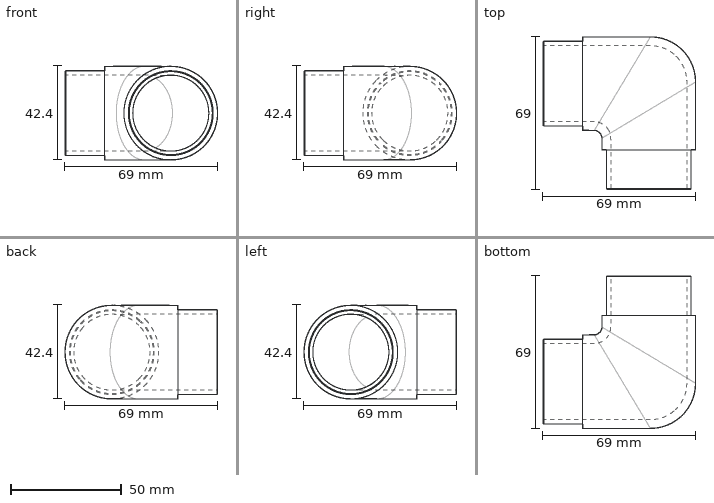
import math

import cadquery as cq

overall = 69.0
body_diameter = 42.4
spigot_diameter = 38.35
bore_diameter = 34.35
spigot_length = 17.95
mouth_chamfer = 0.4
inner_bend_radius = 3.45
outer_bend_radius = 20.4
bend_section_count = 9

body_radius = body_diameter / 2
axis_reach = overall - body_radius
body_reach = axis_reach - spigot_length

inner_centre = -(body_radius + inner_bend_radius)
outer_centre = body_radius - outer_bend_radius


def bend_points(radius, angle):
    """Inner and outer ends of the bend section at an angle from +X, for a tube of this radius."""
    direction = cq.Vector(math.cos(angle), math.sin(angle), 0)
    inner_arc_radius = -radius - inner_centre
    outer_arc_radius = radius - outer_centre
    inner = cq.Vector(inner_centre, inner_centre, 0) + direction * inner_arc_radius
    outer = cq.Vector(outer_centre, outer_centre, 0) + direction * outer_arc_radius
    return inner, outer


def bend_section(radius, angle):
    """Upright ellipse spanning the bend from its inner arc to its outer arc."""
    inner, outer = bend_points(radius, angle)
    chord = outer - inner
    normal = cq.Vector(0, 0, 1).cross(chord)
    ellipse = cq.Edge.makeEllipse(chord.Length / 2, radius, (inner + outer) / 2, normal, chord)
    return cq.Wire.assembleEdges([ellipse])


def bend(radius):
    """Quarter bend whose corner rounding grows from the inner arc to the outer arc."""
    step = math.pi / 2 / (bend_section_count - 1)
    sections = [bend_section(radius, i * step) for i in range(bend_section_count)]
    return cq.Workplane(obj=cq.Solid.makeLoft(sections))


def swap_legs(leg):
    """Half turn about the diagonal x = y, which takes one leg to the other."""
    return leg.rotate((0, 0, 0), (1, 1, 0), 180)


def mitred_leg(radius, length):
    """Leg along -Y that stops at the slanted plane where the bend begins."""
    inner, outer = bend_points(radius, 0)
    outline = [(inner.x, -length), (inner.x, inner.y), (outer.x, outer.y), (outer.x, -length)]
    trim = cq.Workplane("XY").polyline(outline).close().extrude(radius, both=True)
    cylinder = cq.Workplane("XZ").workplane(offset=-radius).circle(radius).extrude(length + radius)
    return cylinder.intersect(trim)


def elbow(radius, length):
    """Two round legs at right angles, joined by the bend."""
    leg = mitred_leg(radius, length)
    return leg.union(bend(radius)).union(swap_legs(leg))


def spigot():
    """Reduced end of the -Y leg, from the shoulder to its chamfered mouth."""
    shoulder = cq.Workplane("XZ").workplane(offset=body_reach)
    sleeve = shoulder.circle(spigot_diameter / 2).extrude(spigot_length)
    return sleeve.faces("<Y").chamfer(mouth_chamfer)


body = elbow(body_radius, body_reach)
bore = elbow(bore_diameter / 2, axis_reach)
result = body.union(spigot()).union(swap_legs(spigot())).cut(bore)